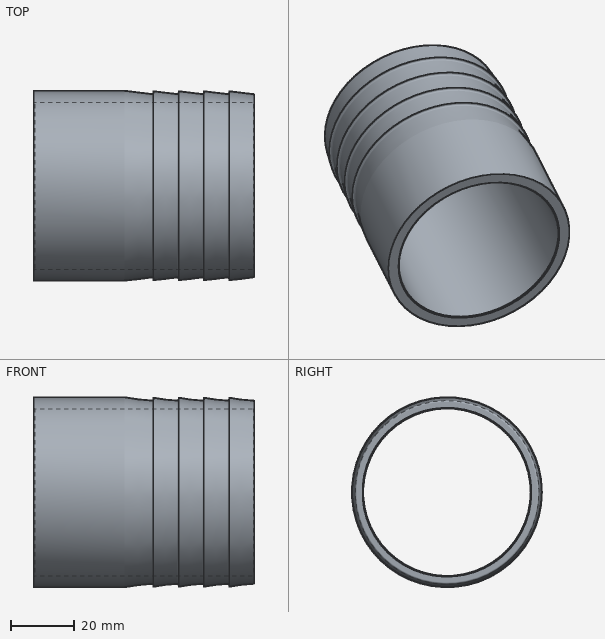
import cadquery as cq
import math

length = 70.0
outer_radius = 60.3 / 2
bore_radius = 53.0 / 2
bore_chamfer = 0.3

barb_count = 5
barb_pitch = 8.0
first_taper_start = 28.85
crest_radius = 30.0
valley_radius = 29.1
valley_fillet = 0.5
tip_fillet = 0.5

diagonal = math.sqrt(0.5)


def outer_profile():
    """Half section of the solid body, drawn as (axial position, radius)."""
    profile = cq.Workplane("XY").lineTo(0, outer_radius).lineTo(first_taper_start, outer_radius)

    for barbs_after in range(barb_count - 1, 0, -1):
        step = length - barbs_after * barb_pitch
        fillet_center = (step - valley_fillet, valley_radius + valley_fillet)
        fillet_middle = (
            fillet_center[0] + valley_fillet * diagonal,
            fillet_center[1] - valley_fillet * diagonal,
        )
        profile = (
            profile.lineTo(step - valley_fillet, valley_radius)
            .threePointArc(fillet_middle, (step, valley_radius + valley_fillet))
            .lineTo(step, crest_radius)
        )

    tip_center = (length - tip_fillet, valley_radius - tip_fillet)
    tip_middle = (tip_center[0] + tip_fillet * diagonal, tip_center[1] + tip_fillet * diagonal)
    return (
        profile.lineTo(length - tip_fillet, valley_radius)
        .threePointArc(tip_middle, (length, valley_radius - tip_fillet))
        .lineTo(length, 0)
        .close()
    )


def bore_profile():
    """Half section of the through bore, widened by a small chamfer at both mouths."""
    mouth_radius = bore_radius + bore_chamfer
    points = [
        (0, 0),
        (0, mouth_radius),
        (bore_chamfer, bore_radius),
        (length - bore_chamfer, bore_radius),
        (length, mouth_radius),
        (length, 0),
    ]
    return cq.Workplane("XY").polyline(points).close()


def revolve_about_x(profile):
    return profile.revolve(360, (0, 0, 0), (1, 0, 0))


result = revolve_about_x(outer_profile()).cut(revolve_about_x(bore_profile()))